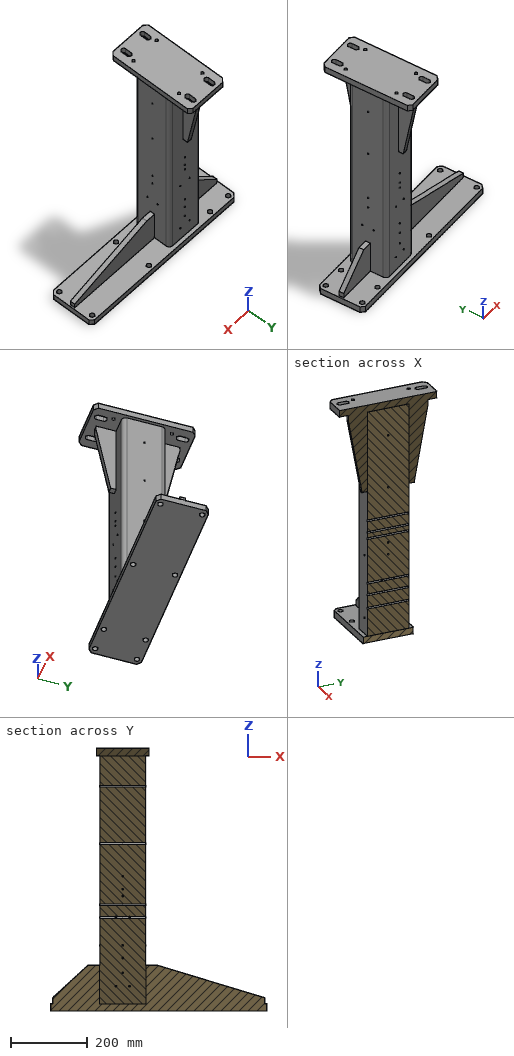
import cadquery as cq

total_height = 684.5
plate_thickness = 20.0
column_width = 120.5
column_flat_width = 96.0
column_corner_radius = (column_width - column_flat_width) / 2
column_bottom = plate_thickness
column_top = total_height - plate_thickness

face_hole_diameter = 3.5
face_hole_pair_offset = 18.0
front_single_heights = [100.0, 138.0, 172.0, 300.0, 317.5, 351.0]
front_pair_heights = [65.0, 245.0]
side_single_heights = [244.0, 277.0, 436.0, 585.0]
side_pair_heights = [171.0]

base_left = -187.5
base_right = 375.0
base_width = 144.5
plate_corner_chamfer = 10.0
base_hole_diameter = 14.0
base_hole_edge_distance = 17.0
base_hole_inner_positions = [-100.0, 137.5]
base_hole_offset_y = 57.5

rib_thickness = 15.0
rib_end_height = 15.0
base_rib_inset = 5.0
base_rib_height = 100.0
base_rib_flat_reach = 90.5
head_rib_top_reach = 115.0
head_rib_bottom_reach = 75.0
head_rib_height = 230.0

head_length_x = 137.0
head_length_y = 280.0
slot_width = 14.5
slot_length = 33.5
slot_angle = 90
slot_offset_x = 37.0
slot_offset_y = 112.0
head_hole_diameter = 8.0
head_hole_offset_x = 45.0
head_hole_offset_y = 80.0


def mirrored_points(x, y):
    """Four points placed symmetrically about the column axis."""
    return [(x, y), (-x, y), (x, -y), (-x, -y)]


def make_plate(x_min, x_max, width_y, z_bottom):
    """Flat plate with chamfered vertical corners, centred on Y = 0."""
    return (
        cq.Workplane("XY", origin=((x_min + x_max) / 2, 0, z_bottom))
        .rect(x_max - x_min, width_y)
        .extrude(plate_thickness)
        .edges("|Z")
        .chamfer(plate_corner_chamfer)
    )


def make_rib(plane, outline):
    """Upright rib of constant thickness, centred on the given plane."""
    return cq.Workplane(plane).polyline(outline).close().extrude(rib_thickness / 2, both=True)


def make_base_rib(end_x, side):
    """Rib on the base plate; side is -1 towards -X or +1 towards +X."""
    wall = side * column_width / 2
    rib_top = plate_thickness + base_rib_height
    return make_rib("XZ", [
        (wall, plate_thickness),
        (end_x, plate_thickness),
        (end_x, plate_thickness + rib_end_height),
        (side * base_rib_flat_reach, rib_top),
        (wall, rib_top),
    ])


def make_head_rib(side):
    """Tapered rib under the head plate; side is -1 towards -Y or +1 towards +Y."""
    wall = side * column_width / 2
    rib_bottom = column_top - head_rib_height
    return make_rib("YZ", [
        (wall, column_top),
        (side * head_rib_top_reach, column_top),
        (side * head_rib_top_reach, column_top - rib_end_height),
        (side * head_rib_bottom_reach, rib_bottom),
        (wall, rib_bottom),
    ])


def face_hole_points(single_heights, pair_heights):
    """Hole centres on one column face: on the centreline and in pairs beside it."""
    singles = [(0, z) for z in single_heights]
    pairs = [(side * face_hole_pair_offset, z) for z in pair_heights for side in (-1, 1)]
    return singles + pairs


def drill_column(plane, points):
    """Cylinders that pass through the whole column at the given points."""
    return (
        cq.Workplane(plane)
        .pushPoints(points)
        .circle(face_hole_diameter / 2)
        .extrude(column_width, both=True)
    )


def make_column():
    """Solid column with small cross holes through both pairs of faces."""
    column = (
        cq.Workplane("XY", origin=(0, 0, column_bottom))
        .rect(column_width, column_width)
        .extrude(column_top - column_bottom)
        .edges("|Z")
        .fillet(column_corner_radius)
    )
    front_holes = drill_column("XZ", face_hole_points(front_single_heights, front_pair_heights))
    side_holes = drill_column("YZ", face_hole_points(side_single_heights, side_pair_heights))
    return column.cut(front_holes).cut(side_holes)


def make_base():
    """Base plate with its two ribs and two rows of mounting holes."""
    hole_columns = [
        base_left + base_hole_edge_distance,
        *base_hole_inner_positions,
        base_right - base_hole_edge_distance,
    ]
    hole_points = [(x, side * base_hole_offset_y) for x in hole_columns for side in (-1, 1)]
    holes = (
        cq.Workplane("XY")
        .pushPoints(hole_points)
        .circle(base_hole_diameter / 2)
        .extrude(plate_thickness)
    )
    return (
        make_plate(base_left, base_right, base_width, 0)
        .cut(holes)
        .union(make_base_rib(base_left + base_rib_inset, -1))
        .union(make_base_rib(base_right - base_rib_inset, 1))
    )


def make_head():
    """Head plate with its two ribs, four slots and four round holes."""
    slots = (
        cq.Workplane("XY", origin=(0, 0, column_top))
        .pushPoints(mirrored_points(slot_offset_x, slot_offset_y))
        .slot2D(slot_length, slot_width, slot_angle)
        .extrude(plate_thickness)
    )
    holes = (
        cq.Workplane("XY", origin=(0, 0, column_top))
        .pushPoints(mirrored_points(head_hole_offset_x, head_hole_offset_y))
        .circle(head_hole_diameter / 2)
        .extrude(plate_thickness)
    )
    return (
        make_plate(-head_length_x / 2, head_length_x / 2, head_length_y, column_top)
        .cut(slots)
        .cut(holes)
        .union(make_head_rib(-1))
        .union(make_head_rib(1))
    )


base = make_base()
column = make_column()
head = make_head()

result = cq.Compound.makeCompound([base.val(), column.val(), head.val()])